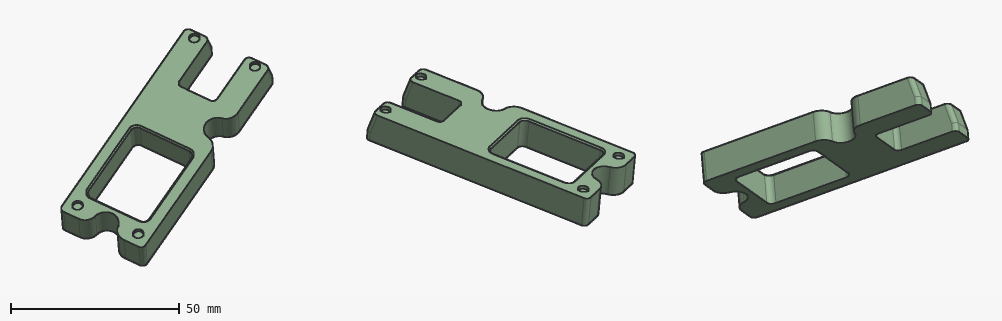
import cadquery as cq
import math

width = 28.95
overall_depth = 76.8
thickness = 10.0
tilt_angle = 5.0
tilt = math.radians(tilt_angle)
length = (overall_depth - thickness * math.sin(tilt)) / math.cos(tilt)
corner_radius = 1.5

slope_angle = 15.0
square_face_height = 3.0

slot_width = 13.05
slot_end = 55.35

window_width = 20.9
window_front = 8.45
window_rear = 37.0
window_radius = 2.0
window_chamfer = 0.5

notch_radius = 4.0
notch_depth = 6.45
side_notch_position = 47.6

hole_diameter = 3.2
hole_depth = 1.15
hole_spacing = 20.95
hole_rows = (4.0, 72.25)


def make_plate():
    """Forked plate with a sloped rear end and rounded upright corners."""
    slope_run = (thickness - square_face_height) * math.tan(math.radians(slope_angle))
    plate = (
        cq.Workplane("YZ")
        .polyline([
            (0, 0),
            (length, 0),
            (length, square_face_height),
            (length - slope_run, thickness),
            (0, thickness),
        ])
        .close()
        .extrude(width / 2, both=True)
    )
    slot_length = length - slot_end
    slot = cq.Workplane("XY").box(slot_width, slot_length, thickness, centered=(True, False, False))
    plate = plate.cut(slot.translate((0, slot_end, 0)))
    return plate.edges("not(#Z)").fillet(corner_radius)


def make_notch():
    """Notch cutter opening toward -Y at the origin."""
    center_y = notch_depth - notch_radius
    arc_distance = 2 * notch_radius
    blend_x = math.sqrt(arc_distance**2 - (center_y - notch_radius) ** 2)
    meet_x = blend_x / 2
    meet_y = (center_y + notch_radius) / 2
    end_angle = math.atan2(meet_y - notch_radius, meet_x - blend_x) % (2 * math.pi)
    middle_angle = (end_angle + 1.5 * math.pi) / 2
    middle_x = blend_x + notch_radius * math.cos(middle_angle)
    middle_y = notch_radius + notch_radius * math.sin(middle_angle)
    return (
        cq.Workplane("XY")
        .moveTo(-blend_x, 0)
        .threePointArc((-middle_x, middle_y), (-meet_x, meet_y))
        .threePointArc((0, notch_depth), (meet_x, meet_y))
        .threePointArc((middle_x, middle_y), (blend_x, 0))
        .close()
        .extrude(thickness)
    )


def make_window():
    """Window cutter, widened by a chamfer at the upper face."""
    window_length = window_rear - window_front
    window = (
        cq.Workplane("XY")
        .box(window_width, window_length, thickness, centered=(True, True, False))
        .edges("|Z")
        .fillet(window_radius)
    )
    rim_width = window_width + 2 * window_chamfer
    rim_length = window_length + 2 * window_chamfer
    rim_outline = cq.Sketch().rect(rim_width, rim_length).vertices().fillet(window_radius + window_chamfer)
    rim = (
        cq.Workplane("XY", origin=(0, 0, thickness))
        .placeSketch(rim_outline)
        .extrude(-window_chamfer, taper=45)
    )
    return window.union(rim).translate((0, (window_front + window_rear) / 2, 0))


body = make_plate().cut(make_window())

front_notch = make_notch()
side_notch = front_notch.rotate((0, 0, 0), (0, 0, 1), 90).translate((width / 2, side_notch_position, 0))
body = body.cut(front_notch).cut(side_notch)

hole_points = [(side * hole_spacing / 2, row) for side in (-1, 1) for row in hole_rows]
holes = (
    cq.Workplane("XY", origin=(0, 0, thickness))
    .pushPoints(hole_points)
    .circle(hole_diameter / 2)
    .extrude(-hole_depth)
)
body = body.cut(holes)

result = body.rotate((0, 0, 0), (1, 0, 0), tilt_angle)